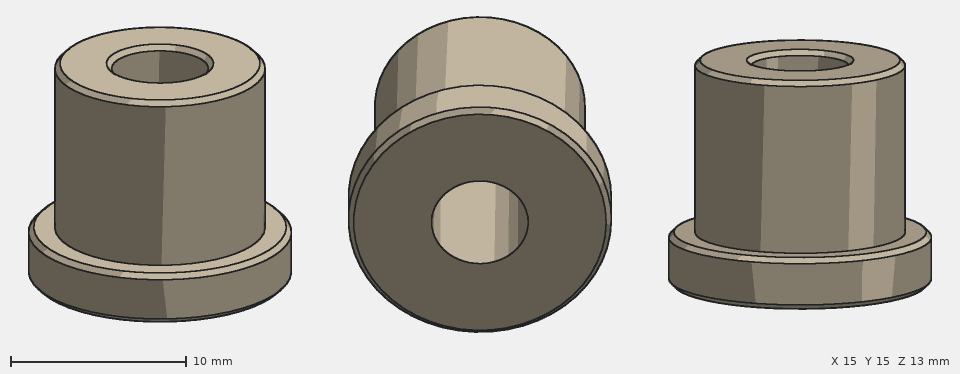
import cadquery as cq

flange_diameter = 15.0
flange_height = 3.0
body_diameter = 12.0
total_height = 13.0
bore_diameter = 5.5
edge_chamfer = 0.3


def chamfered_flange():
    """Disc with both outer rims chamfered."""
    disc = cq.Workplane("XY").circle(flange_diameter / 2).extrude(flange_height)
    return disc.edges().chamfer(edge_chamfer)


def chamfered_body():
    """Cylinder over the full height with its top rim chamfered."""
    cylinder = cq.Workplane("XY").circle(body_diameter / 2).extrude(total_height)
    return cylinder.faces(">Z").edges().chamfer(edge_chamfer)


bushing = chamfered_flange().union(chamfered_body())

result = bushing.faces(">Z").workplane().cskHole(
    bore_diameter, bore_diameter + 2 * edge_chamfer, 90
)